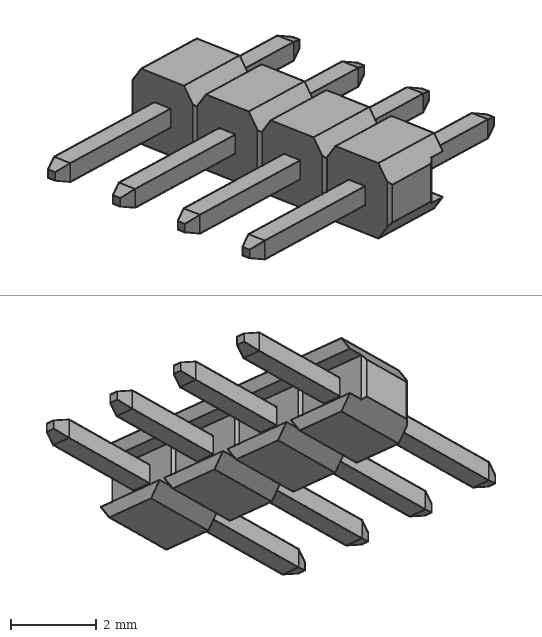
import cadquery as cq

pin_count = 4
header_width = 8.0
pitch = header_width / pin_count
total_length = 8.8

housing_depth = 2.01
housing_height = 2.0
top_flat_width = 1.32
side_flat_height = 1.0
side_bevel_inset = 0.07
side_bevel_length = 0.11
slot_depth = 0.405

pin_width = 0.5
pin_front_length = 3.995
tip_length = 0.38
tip_width = 0.23

corner_width = (pitch - top_flat_width) / 2
corner_height = (housing_height - side_flat_height) / 2
slot_height = side_flat_height + 2 * side_bevel_inset * corner_height / corner_width
bevel_face_width = pitch - 2 * side_bevel_inset


def octagonal_prism():
    """Housing cell outline, extruded back from the front face."""
    half_width = pitch / 2
    half_flat = top_flat_width / 2
    half_height = housing_height / 2
    half_side = side_flat_height / 2
    outline = [
        (-half_width, -half_side),
        (-half_flat, -half_height),
        (half_flat, -half_height),
        (half_width, -half_side),
        (half_width, half_side),
        (half_flat, half_height),
        (-half_flat, half_height),
        (-half_width, half_side),
    ]
    return cq.Workplane("XZ").polyline(outline).close().extrude(-housing_depth)


def bevelled_plan():
    """Plan envelope that bevels the cell sides at the front face and at the slot floor."""
    half_width = pitch / 2
    half_face = bevel_face_width / 2
    slot_floor = housing_depth - slot_depth
    bevel_end = slot_floor - side_bevel_length
    outline = [
        (-half_face, 0),
        (half_face, 0),
        (half_width, side_bevel_length),
        (half_width, bevel_end),
        (half_face, slot_floor),
        (half_face, housing_depth),
        (-half_face, housing_depth),
        (-half_face, slot_floor),
        (-half_width, bevel_end),
        (-half_width, side_bevel_length),
    ]
    return (
        cq.Workplane("XY")
        .workplane(offset=-housing_height / 2)
        .polyline(outline)
        .close()
        .extrude(housing_height)
    )


def rear_slot():
    """Slot across the rear face, open on both sides of the cell."""
    return (
        cq.Workplane("XY")
        .box(pitch, slot_depth, slot_height)
        .translate((0, housing_depth - slot_depth / 2, 0))
    )


def pin():
    """Square bar with a truncated pyramid at each end."""
    front_end = -pin_front_length
    shaft_length = total_length - 2 * tip_length
    shaft = (
        cq.Workplane("XZ", origin=(0, front_end + tip_length, 0))
        .rect(pin_width, pin_width)
        .extrude(-shaft_length)
    )
    front_tip = (
        cq.Workplane("XZ", origin=(0, front_end, 0))
        .rect(tip_width, tip_width)
        .workplane(offset=-tip_length)
        .rect(pin_width, pin_width)
        .loft(ruled=True)
    )
    pin_middle = (0, front_end + total_length / 2, 0)
    rear_tip = front_tip.mirror("XZ", pin_middle)
    return shaft.union(front_tip).union(rear_tip)


cell = octagonal_prism().intersect(bevelled_plan()).cut(rear_slot()).union(pin())

result = cell
for index in range(1, pin_count):
    result = result.union(cell.translate((index * pitch, 0, 0)))